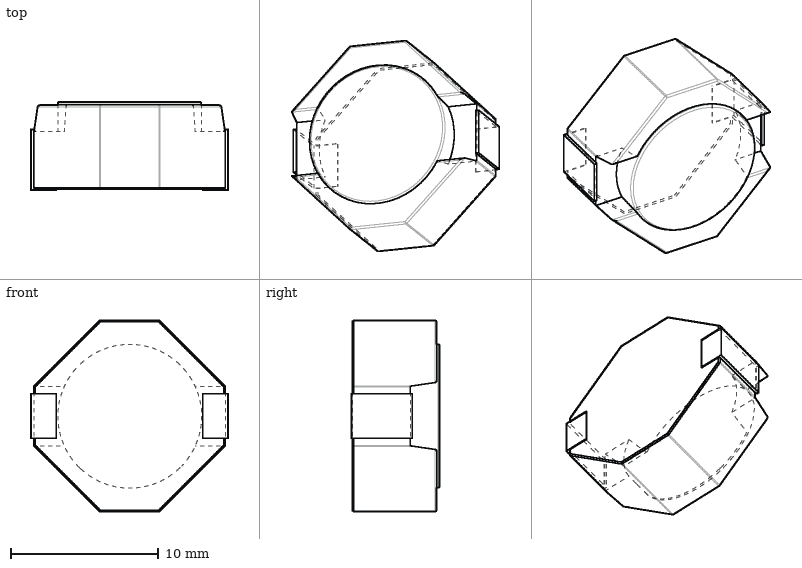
import cadquery as cq

total_length = 13.4
total_depth = 6.0
body_width = 13.0

flat_length = 4.05
corner_radius = 0.12
front_chamfer = 0.1
back_fillet = 0.13
pad_standoff = 0.05
core_rise = 0.2

core_radius = 4.89
core_fillet = 0.13

pocket_floor = 3.99
pocket_back_width = 4.58

terminal_width = 3.03
terminal_height = 4.13
pad_length = 1.72

half_body = body_width / 2
half_flat = flat_length / 2
body_back = total_depth - core_rise
terminal_thickness = (total_length - body_width) / 2


def extrude_along_y(outline, start, end):
    """Extrude an XZ outline from Y = start to Y = end."""
    return outline.extrude(start - end).translate((0, start, 0))


def make_body():
    points = [
        (half_flat, half_body), (half_body, half_flat),
        (half_body, -half_flat), (half_flat, -half_body),
        (-half_flat, -half_body), (-half_body, -half_flat),
        (-half_body, half_flat), (-half_flat, half_body),
    ]
    outline = cq.Workplane("XZ").polyline(points).close()
    body = extrude_along_y(outline, pad_standoff, body_back)
    body = body.edges("|Y").fillet(corner_radius)
    body = body.faces("<Y").chamfer(front_chamfer).cut(make_pockets())
    return body.faces(">Y").edges().fillet(back_fillet)


def make_pockets():
    """Flared slot through both X sides, interrupted by the core."""
    half_back = pocket_back_width / 2
    return (
        cq.Workplane("YZ")
        .polyline([
            (pocket_floor, -half_flat), (body_back, -half_back),
            (body_back, half_back), (pocket_floor, half_flat),
        ])
        .close()
        .extrude(half_body, both=True)
    )


def make_core():
    outline = cq.Workplane("XZ").circle(core_radius)
    core = extrude_along_y(outline, pocket_floor, total_depth)
    return core.faces(">Y").edges().fillet(core_fillet)


def make_terminal():
    """L-shaped terminal on the +X side, wrapped under the body."""
    outer = total_length / 2
    inner = outer - terminal_thickness
    return (
        cq.Workplane("XY")
        .polyline([
            (outer, 0), (outer, terminal_height), (inner, terminal_height),
            (inner, pad_standoff + front_chamfer),
            (inner - front_chamfer, pad_standoff),
            (outer - pad_length, pad_standoff), (outer - pad_length, 0),
        ])
        .close()
        .extrude(terminal_width / 2, both=True)
    )


terminal = make_terminal()
result = make_body().union(make_core())
result = result.union(terminal).union(terminal.mirror("YZ"))